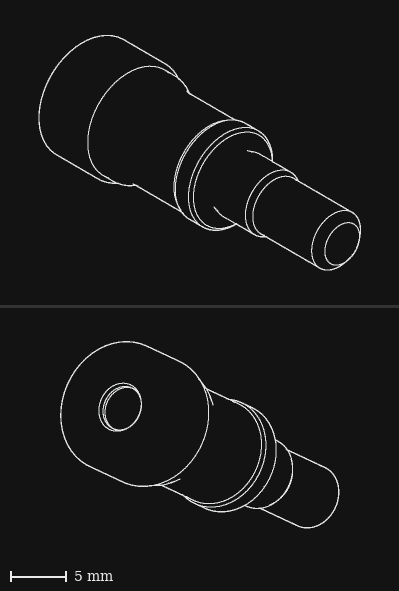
import cadquery as cq
import math

TOTAL_LENGTH = 35.0

CAP_DIAMETER = 12.0
CAP_LENGTH = 6.35
CAP_EDGE_RADIUS = 0.3
MOUTH_DIAMETER = 9.2
CONE_FLOOR_DIAMETER = 4.45
CONE_DEPTH = 0.6
POCKET_DIAMETER = 4.02
POCKET_RIM_LENGTH = 0.4
POCKET_DEPTH = 1.33

NECK_DIAMETER = 11.0
BARREL_DIAMETER = 9.6
NECK_END = 7.7
FLARE_ANGLE = math.radians(25)
FLARE_OUTER_RADIUS = 1.0
FLARE_INNER_RADIUS = 3.0

COLLAR_DIAMETER = 10.0
COLLAR_START = 17.4
COLLAR_END = 19.95
COLLAR_LEAD_LENGTH = 0.42
COLLAR_CHAMFER = 0.3

UNDERCUT_DIAMETER = 6.12
UNDERCUT_FILLET = 0.3
UNDERCUT_FLAT = 0.1
UNDERCUT_ANGLE = math.radians(15)
SHANK_DIAMETER = 6.5
SHANK_END = 25.45
TIP_DIAMETER = 5.8
TIP_TAPER_ANGLE = math.radians(30)
TIP_CHAMFER = 0.85

ARC_MID = math.sqrt(0.5)


def turn(profile):
    """Revolve a closed half profile in the XY plane about the X axis."""
    return profile.close().revolve(360, (0, 0, 0), (1, 0, 0))


def make_cap():
    """Round-edged disc with a conical mouth leading to a blind pocket with a tapered rim."""
    radius = CAP_DIAMETER / 2
    pocket_radius = POCKET_DIAMETER / 2
    edge = CAP_EDGE_RADIUS
    edge_inset = edge * (1 - ARC_MID)
    profile = (
        cq.Workplane("XY")
        .moveTo(POCKET_DEPTH, 0)
        .lineTo(POCKET_DEPTH, pocket_radius)
        .lineTo(CONE_DEPTH + POCKET_RIM_LENGTH, pocket_radius)
        .lineTo(CONE_DEPTH, CONE_FLOOR_DIAMETER / 2)
        .lineTo(0, MOUTH_DIAMETER / 2)
        .lineTo(0, radius - edge)
        .threePointArc((edge_inset, radius - edge_inset), (edge, radius))
        .lineTo(CAP_LENGTH - edge, radius)
        .threePointArc((CAP_LENGTH - edge_inset, radius - edge_inset), (CAP_LENGTH, radius - edge))
        .lineTo(CAP_LENGTH, 0)
    )
    return turn(profile)


def add_flare(profile):
    """Blend the neck down to the barrel: convex arc, cone, then concave arc."""
    neck_radius = NECK_DIAMETER / 2
    barrel_radius = BARREL_DIAMETER / 2
    outer_run = FLARE_OUTER_RADIUS * math.sin(FLARE_ANGLE)
    outer_drop = FLARE_OUTER_RADIUS * (1 - math.cos(FLARE_ANGLE))
    inner_run = FLARE_INNER_RADIUS * math.sin(FLARE_ANGLE)
    inner_drop = FLARE_INNER_RADIUS * (1 - math.cos(FLARE_ANGLE))
    cone_drop = neck_radius - barrel_radius - outer_drop - inner_drop
    cone_start = NECK_END + outer_run
    cone_end = cone_start + cone_drop / math.tan(FLARE_ANGLE)
    return (
        profile.lineTo(NECK_END, neck_radius)
        .tangentArcPoint((cone_start, neck_radius - outer_drop), relative=False)
        .lineTo(cone_end, barrel_radius + inner_drop)
        .tangentArcPoint((cone_end + inner_run, barrel_radius), relative=False)
    )


def add_collar(profile):
    """Collar with a sloping lead and a chamfered rear edge."""
    radius = COLLAR_DIAMETER / 2
    return (
        profile.lineTo(COLLAR_START, BARREL_DIAMETER / 2)
        .lineTo(COLLAR_START + COLLAR_LEAD_LENGTH, radius)
        .lineTo(COLLAR_END - COLLAR_CHAMFER, radius)
        .lineTo(COLLAR_END, radius - COLLAR_CHAMFER)
    )


def add_shank(profile):
    """Filleted undercut behind the collar, the shank and the chamfered tip."""
    undercut_radius = UNDERCUT_DIAMETER / 2
    shank_radius = SHANK_DIAMETER / 2
    tip_radius = TIP_DIAMETER / 2
    fillet_end = COLLAR_END + UNDERCUT_FILLET
    fillet_inset = UNDERCUT_FILLET * (1 - ARC_MID)
    undercut_end = fillet_end + UNDERCUT_FLAT
    shank_start = undercut_end + (shank_radius - undercut_radius) / math.tan(UNDERCUT_ANGLE)
    tip_start = SHANK_END + (shank_radius - tip_radius) / math.tan(TIP_TAPER_ANGLE)
    return (
        profile.lineTo(COLLAR_END, undercut_radius + UNDERCUT_FILLET)
        .threePointArc(
            (COLLAR_END + fillet_inset, undercut_radius + fillet_inset),
            (fillet_end, undercut_radius),
        )
        .lineTo(undercut_end, undercut_radius)
        .lineTo(shank_start, shank_radius)
        .lineTo(SHANK_END, shank_radius)
        .lineTo(tip_start, tip_radius)
        .lineTo(TOTAL_LENGTH - TIP_CHAMFER, tip_radius)
        .lineTo(TOTAL_LENGTH, tip_radius - TIP_CHAMFER)
        .lineTo(TOTAL_LENGTH, 0)
    )


def make_stem():
    """Stepped shaft whose flat front face meets the back of the cap."""
    profile = cq.Workplane("XY").moveTo(CAP_LENGTH, 0).lineTo(CAP_LENGTH, NECK_DIAMETER / 2)
    profile = add_flare(profile)
    profile = add_collar(profile)
    profile = add_shank(profile)
    return turn(profile)


cap = make_cap()
stem = make_stem()
result = cq.Compound.makeCompound([cap.val(), stem.val()])